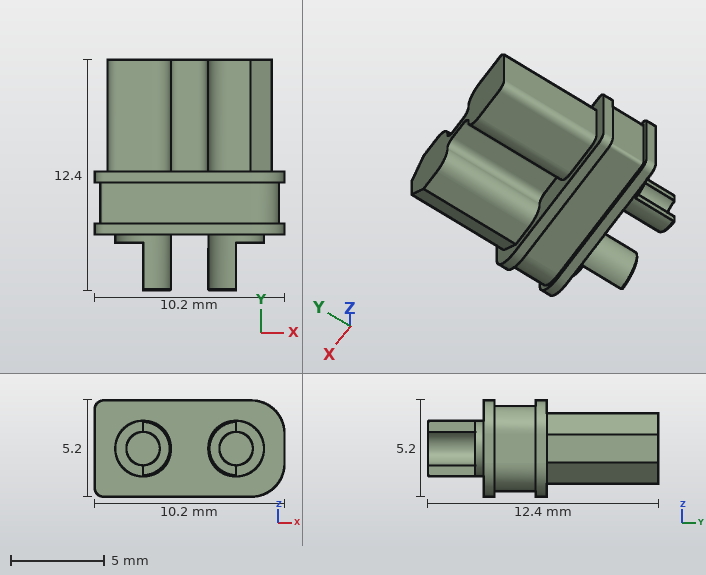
import cadquery as cq

CONTACT_PITCH = 5.0

FLANGE_WIDTH = 10.22
FLANGE_HEIGHT = 5.2
FLANGE_THICKNESS = 0.6
WAIST_LENGTH = 2.2
WAIST_INSET = 0.3
BASE_LENGTH = 2 * FLANGE_THICKNESS + WAIST_LENGTH
KEY_SIDE_RADIUS = 1.8
PLAIN_SIDE_RADIUS = 0.5

HOUSING_WIDTH = 8.85
HOUSING_HEIGHT = 3.8
HOUSING_LENGTH = 6.0
HOUSING_RADIUS = 0.5
HOUSING_CHAMFER = 1.15

GROOVE_FLOOR_WIDTH = 1.0
GROOVE_FLOOR_RADIUS = 0.5
GROOVE_LIP_RADIUS = 1.0
GROOVE_DEPTH = 1.6

CUP_DIAMETER = 3.0
CUP_BORE_DIAMETER = 1.8
CUP_LENGTH = 3.0
CUP_COLLAR_LENGTH = 0.45
CUP_BORE_DEPTH = 3.5
CUP_TIP_CHAMFER = 0.07


def plane_at(y):
    """XZ sketch plane at the given Y, with its normal along -Y."""
    return cq.Workplane(cq.Plane(origin=(0, y, 0), xDir=(1, 0, 0), normal=(0, -1, 0)))


def base_block(y_start, length, inset):
    """Rounded block of the base, its outline moved inward by inset."""
    block = plane_at(y_start).rect(FLANGE_WIDTH - 2 * inset, FLANGE_HEIGHT - 2 * inset).extrude(-length)
    block = block.edges("|Y and >X").fillet(KEY_SIDE_RADIUS - inset)
    return block.edges("|Y and <X").fillet(PLAIN_SIDE_RADIUS - inset)


def make_base():
    waist = base_block(0, BASE_LENGTH, WAIST_INSET)
    front_flange = base_block(0, FLANGE_THICKNESS, 0)
    rear_flange = base_block(BASE_LENGTH - FLANGE_THICKNESS, FLANGE_THICKNESS, 0)
    return waist.union(front_flange).union(rear_flange)


def make_groove():
    """Upper groove cutter: concave floor corners, short straight walls and convex lips."""
    floor_half = GROOVE_FLOOR_WIDTH / 2
    wall_half = floor_half + GROOVE_FLOOR_RADIUS
    lip_half = wall_half + GROOVE_LIP_RADIUS
    top = HOUSING_HEIGHT / 2
    lip_z = top - GROOVE_LIP_RADIUS
    floor_z = top - GROOVE_DEPTH
    corner_z = floor_z + GROOVE_FLOOR_RADIUS
    return (
        plane_at(BASE_LENGTH)
        .moveTo(-lip_half, top)
        .radiusArc((-wall_half, lip_z), GROOVE_LIP_RADIUS)
        .lineTo(-wall_half, corner_z)
        .radiusArc((-floor_half, floor_z), -GROOVE_FLOOR_RADIUS)
        .lineTo(floor_half, floor_z)
        .radiusArc((wall_half, corner_z), -GROOVE_FLOOR_RADIUS)
        .lineTo(wall_half, lip_z)
        .radiusArc((lip_half, top), GROOVE_LIP_RADIUS)
        .close()
        .extrude(-HOUSING_LENGTH)
    )


def make_housing():
    housing = plane_at(BASE_LENGTH).rect(HOUSING_WIDTH, HOUSING_HEIGHT).extrude(-HOUSING_LENGTH)
    housing = housing.edges("|Y and >X").chamfer(HOUSING_CHAMFER)
    housing = housing.edges("|Y and <X").fillet(HOUSING_RADIUS)
    groove = make_groove()
    return housing.cut(groove).cut(groove.mirror("XY"))


def make_cup(side):
    """Solid solder cup; side is -1 or +1 along X, and the outward half is cut away past the collar."""
    x = side * CONTACT_PITCH / 2
    cup = plane_at(0).center(x, 0).circle(CUP_DIAMETER / 2).extrude(CUP_LENGTH)
    cup = cup.faces("<Y").chamfer(CUP_TIP_CHAMFER)
    opening = (
        plane_at(-CUP_COLLAR_LENGTH)
        .center(x + side * CUP_DIAMETER / 2, 0)
        .rect(CUP_DIAMETER, CUP_DIAMETER)
        .extrude(CUP_LENGTH)
    )
    return cup.cut(opening)


def make_cup_bore(side):
    x = side * CONTACT_PITCH / 2
    return plane_at(-CUP_LENGTH).center(x, 0).circle(CUP_BORE_DIAMETER / 2).extrude(-CUP_BORE_DEPTH)


result = make_base().union(make_housing())
for side in (-1, 1):
    result = result.union(make_cup(side)).cut(make_cup_bore(side))